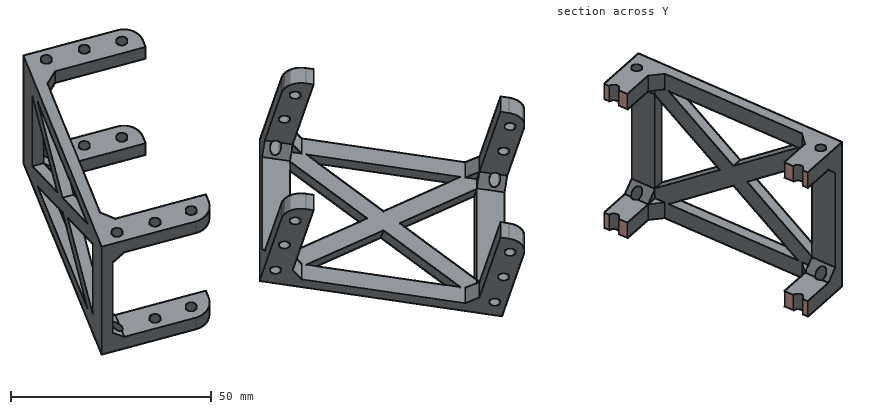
import cadquery as cq
import math

width = 62.0
depth = 29.75
height = 46.0

plate_thickness = 3.0
arm_width = 7.1
arm_height = 5.0
brace_width = 5.0
gusset = 3.0
tip_radius = 5.0

hole_diameter = 2.8
hole_places = [(3.0, 5.0), (3.0, 15.0), (3.55, 24.7)]


def make_slab(length, rise):
    """Block as thick as the plate, centred on the Y axis, front at y = 0."""
    return cq.Workplane("XY").box(length, plate_thickness, rise, centered=(True, False, True))


def make_plate():
    """Rectangular frame with two braces along the diagonals of its window."""
    window_width = width - 2 * arm_width
    window_height = height - 2 * arm_height
    window = make_slab(window_width, window_height)
    frame = make_slab(width, height).cut(window)

    diagonal_angle = math.degrees(math.atan2(window_height, window_width))
    bar = make_slab(math.hypot(width, height), brace_width)
    rising = bar.rotate((0, 0, 0), (0, 1, 0), diagonal_angle)
    falling = bar.rotate((0, 0, 0), (0, 1, 0), -diagonal_angle)
    return frame.union(rising.union(falling).intersect(window))


def make_arm():
    """Upper left arm, with its rounded tip, holes and root gussets."""
    outer_x = -width / 2
    inner_x = outer_x + arm_width
    underside_z = height / 2 - arm_height
    gusset_end = plate_thickness + gusset

    arm = (
        cq.Workplane("XY", origin=(0, 0, underside_z))
        .moveTo(outer_x, 0)
        .lineTo(inner_x + gusset, 0)
        .lineTo(inner_x + gusset, plate_thickness)
        .lineTo(inner_x, gusset_end)
        .lineTo(inner_x, depth)
        .lineTo(outer_x + tip_radius, depth)
        .radiusArc((outer_x, depth - tip_radius), -tip_radius)
        .close()
        .extrude(arm_height)
    )
    lower_gusset = (
        cq.Workplane("YZ", origin=(outer_x, 0, 0))
        .moveTo(plate_thickness, underside_z)
        .lineTo(gusset_end, underside_z)
        .lineTo(plate_thickness, underside_z - gusset)
        .close()
        .extrude(arm_width)
    )
    holes = (
        cq.Workplane("XY", origin=(0, 0, underside_z - gusset))
        .pushPoints([(outer_x + inset, y) for inset, y in hole_places])
        .circle(hole_diameter / 2)
        .extrude(arm_height + gusset)
    )
    return arm.union(lower_gusset).cut(holes)


left_upper = make_arm()
upper_arms = left_upper.union(left_upper.mirror("YZ"))
arms = upper_arms.union(upper_arms.mirror("XY"))
result = make_plate().union(arms)